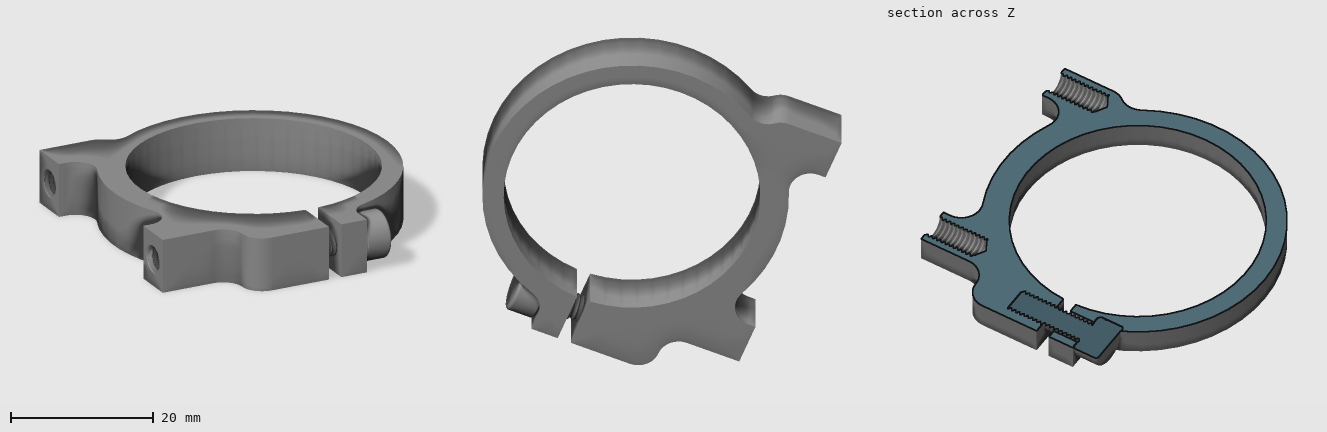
import cadquery as cq
import math

thickness = 8.0
bore_radius = 18.0
ring_radius = 21.0
base_radius = 22.02

lug_end = 25.15
gap = 2.0
upper_lug_top = 5.0
lower_lug_bottom = -13.0
upper_lug_fillet = 3.0

foot_bottom = -24.0
foot_inside = 13.0
foot_width = 6.0
foot_outside = foot_inside + foot_width
foot_center = foot_inside + foot_width / 2
foot_fillet = 3.0
shoulder_hollow_y = -12.2

thread_radius = 2.0
thread_depth = 0.35
thread_pitch = 0.7
crest_width = 0.1
ridge_base_width = 0.6
ridge_overlap = 0.05
core_radius = thread_radius - thread_depth

foot_thread_length = 8.0
countersink_radius = 2.05
drill_point_angle = 120.0
drill_tip_length = core_radius / math.tan(math.radians(drill_point_angle / 2))

head_radius = 3.5
head_height = 4.0
head_top_fillet = 0.4
head_bottom_chamfer = 0.32
screw_x = lug_end - head_radius
screw_length = 11.7
screw_tip = upper_lug_top - screw_length
clearance_radius = 2.15


def arc_middle(center, start, end):
    """Middle point of the shorter arc around center from start to end."""
    radius = math.dist(center, start)
    across_x = start[0] + end[0] - 2 * center[0]
    across_y = start[1] + end[1] - 2 * center[1]
    stretch = radius / math.hypot(across_x, across_y)
    return center[0] + across_x * stretch, center[1] + across_y * stretch


def mirrored(point):
    return -point[0], point[1]


def clamp_outline():
    """Outer outline of the clamp, with the gap and the bore still filled."""
    lug_arc_y = upper_lug_top + upper_lug_fillet
    lug_arc_reach = ring_radius + upper_lug_fillet
    lug_arc = (math.sqrt(lug_arc_reach**2 - lug_arc_y**2), lug_arc_y)
    lug_arc_start = (lug_arc[0], upper_lug_top)
    lug_arc_end = tuple(v * ring_radius / lug_arc_reach for v in lug_arc)

    hollow_reach = ring_radius + foot_fillet
    hollow = (-math.sqrt(hollow_reach**2 - shoulder_hollow_y**2), shoulder_hollow_y)
    hollow_start = tuple(v * ring_radius / hollow_reach for v in hollow)
    shoulder_x = foot_fillet - foot_outside
    shoulder_drop = math.sqrt((2 * foot_fillet) ** 2 - (shoulder_x - hollow[0]) ** 2)
    shoulder = (shoulder_x, shoulder_hollow_y - shoulder_drop)
    hollow_end = ((hollow[0] + shoulder[0]) / 2, (hollow[1] + shoulder[1]) / 2)
    shoulder_end = (-foot_outside, shoulder[1])

    base_reach = base_radius + foot_fillet
    base_arc_x = foot_fillet - foot_inside
    base_arc = (base_arc_x, -math.sqrt(base_reach**2 - base_arc_x**2))
    base_arc_start = (-foot_inside, base_arc[1])
    base_arc_end = tuple(v * base_radius / base_reach for v in base_arc)
    base_arc_middle = arc_middle(base_arc, base_arc_start, base_arc_end)

    step_radius = (lug_end - foot_outside) / 2
    step_middle_x = foot_outside + step_radius
    step_inner = (step_middle_x, lower_lug_bottom - step_radius)
    step_outer = (step_middle_x, lower_lug_bottom + step_radius)
    step_start = (foot_outside, step_inner[1])
    step_middle = (step_middle_x, lower_lug_bottom)
    step_end = (lug_end, step_outer[1])

    return (
        cq.Workplane("XY", origin=(0, 0, -thickness / 2))
        .moveTo(lug_end, upper_lug_top)
        .lineTo(*lug_arc_start)
        .threePointArc(arc_middle(lug_arc, lug_arc_start, lug_arc_end), lug_arc_end)
        .threePointArc((0, ring_radius), hollow_start)
        .threePointArc(arc_middle(hollow, hollow_start, hollow_end), hollow_end)
        .threePointArc(arc_middle(shoulder, hollow_end, shoulder_end), shoulder_end)
        .lineTo(-foot_outside, foot_bottom)
        .lineTo(-foot_inside, foot_bottom)
        .lineTo(*base_arc_start)
        .threePointArc(base_arc_middle, base_arc_end)
        .threePointArc((0, -base_radius), mirrored(base_arc_end))
        .threePointArc(mirrored(base_arc_middle), mirrored(base_arc_start))
        .lineTo(foot_inside, foot_bottom)
        .lineTo(foot_outside, foot_bottom)
        .lineTo(*step_start)
        .threePointArc(arc_middle(step_inner, step_start, step_middle), step_middle)
        .threePointArc(arc_middle(step_outer, step_middle, step_end), step_end)
        .close()
    )


def along_y(radius, x, start_y, length):
    """Cylinder around a line parallel to Y, reaching from start_y toward +Y."""
    start = cq.Vector(x, start_y, 0)
    return cq.Workplane(cq.Solid.makeCylinder(radius, length, start, cq.Vector(0, 1, 0)))


def threaded_rod(length):
    """Right-handed threaded rod on the Z axis from Z = 0 to length."""
    inner = core_radius - ridge_overlap
    overrun = 2 * thread_pitch
    path = cq.Workplane(cq.Wire.makeHelix(thread_pitch, length + overrun, inner))
    ridge = (
        cq.Workplane("XZ")
        .polyline([
            (inner, -ridge_base_width / 2),
            (thread_radius, -crest_width / 2),
            (thread_radius, crest_width / 2),
            (inner, ridge_base_width / 2),
        ])
        .close()
        .sweep(path, isFrenet=True)
        .translate((0, 0, -thread_pitch))
    )
    core = cq.Workplane("XY", origin=(0, 0, -overrun)).circle(core_radius).extrude(length + 2 * overrun)
    envelope = cq.Workplane("XY").circle(2 * thread_radius).extrude(length)
    return core.union(ridge).intersect(envelope)


def threaded_rod_along_y(x, start_y, length):
    return threaded_rod(length).rotate((0, 0, 0), (1, 0, 0), -90).translate((x, start_y, 0))


def make_screw():
    head = (
        along_y(head_radius, screw_x, upper_lug_top, head_height)
        .faces(">Y").edges().fillet(head_top_fillet)
        .faces("<Y").edges().chamfer(head_bottom_chamfer)
    )
    return threaded_rod_along_y(screw_x, screw_tip, screw_length).union(head)


def cut_foot_hole(clamp, x):
    """Cut a countersunk, tapped blind hole with a drill-point bottom into the foot from below."""
    up = cq.Vector(0, 1, 0)
    mouth = cq.Vector(x, foot_bottom, 0)
    thread_end = cq.Vector(x, foot_bottom + foot_thread_length, 0)
    countersink = cq.Solid.makeCone(countersink_radius, 0, countersink_radius, mouth, up)
    tip = cq.Solid.makeCone(core_radius, 0, drill_tip_length, thread_end, up)
    thread = threaded_rod_along_y(x, foot_bottom, foot_thread_length)
    for cutter in (thread, cq.Workplane(countersink), cq.Workplane(tip)):
        clamp = clamp.cut(cutter)
    return clamp


def make_clamp(screw):
    cutters = [
        cq.Workplane("XY").circle(bore_radius).extrude(thickness, both=True),
        cq.Workplane("XY").box(lug_end, gap, thickness).translate((lug_end / 2, 0, 0)),
        along_y(clearance_radius, screw_x, 0, upper_lug_top),
        screw,
    ]
    clamp = clamp_outline().extrude(thickness)
    for cutter in cutters:
        clamp = clamp.cut(cutter)
    for x in (-foot_center, foot_center):
        clamp = cut_foot_hole(clamp, x)
    return clamp


screw = make_screw()
clamp = make_clamp(screw)

result = cq.Compound.makeCompound([clamp.solids().val(), screw.solids().val()])